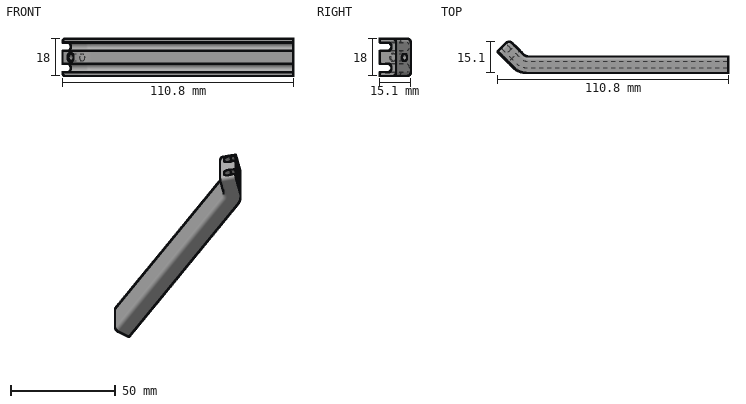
import cadquery as cq
import math

length = 110.8
width = 18.0
thickness = 8.0
bend_angle = math.radians(45)
outer_bend_radius = 8.5
inner_bend_radius = 3.5
edge_radius = 2.0
overall_depth = 15.1

groove_spacing = 10.2
groove_mouth = 3.7
mouth_chamfer = 0.3
groove_diameter = 4.2
groove_depth = 5.6

hole_diameter = 3.4
countersink_diameter = 4.2
countersink_depth = 0.4
hole_from_end = 5.5

sin_bend = math.sin(bend_angle)
cos_bend = math.cos(bend_angle)
half_bend_tan = math.tan(bend_angle / 2)

tip_y = overall_depth - thickness * cos_bend + edge_radius * (sin_bend + cos_bend - 1)
bend_x = tip_y / math.tan(bend_angle)
leg_length = tip_y / sin_bend


def bent_line(depth, radius):
    """Return tip, leg tangent, arc middle, bar tangent and bar end below the front face."""
    corner_x = bend_x + depth * half_bend_tan
    tangent_length = radius * half_bend_tan
    tangent_x = corner_x + tangent_length
    leg_tangent = (corner_x - tangent_length * cos_bend, depth + tangent_length * sin_bend)
    middle = (
        tangent_x - radius * math.sin(bend_angle / 2),
        depth + radius * (1 - math.cos(bend_angle / 2)),
    )
    tip = (depth * sin_bend, tip_y + depth * cos_bend)
    return tip, leg_tangent, middle, (tangent_x, depth), (length, depth)


def bent_slab(back_depth, back_radius, slab_width):
    """Extrude the bent strip from the front face to a depth, centered on Z = 0."""
    tip, leg, middle, bar, end = bent_line(0, outer_bend_radius)
    back_tip, back_leg, back_middle, back_bar, back_end = bent_line(back_depth, back_radius)
    return (
        cq.Workplane("XY")
        .moveTo(*tip)
        .lineTo(*leg)
        .threePointArc(middle, bar)
        .lineTo(*end)
        .lineTo(*back_end)
        .lineTo(*back_bar)
        .threePointArc(back_middle, back_leg)
        .lineTo(*back_tip)
        .close()
        .extrude(slab_width / 2, both=True)
    )


def make_body():
    body = bent_slab(thickness, inner_bend_radius, width)
    end_center = cq.Vector(thickness * sin_bend / 2, tip_y + thickness * cos_bend / 2, 0)
    end_face = min(body.faces().vals(), key=lambda face: (face.Center() - end_center).Length)
    front_tip = cq.Vector(0, tip_y, 0)
    end_edges = [edge for edge in end_face.Edges() if (edge.Center() - front_tip).Length > edge_radius]
    tip, leg, middle, bar, end = bent_line(thickness, inner_bend_radius)
    leg_middle = ((tip[0] + leg[0]) / 2, (tip[1] + leg[1]) / 2)
    bar_middle = ((bar[0] + end[0]) / 2, thickness)
    back_edges = []
    for side in (-1, 1):
        for x, y in (leg_middle, middle, bar_middle):
            target = cq.Vertex.makeVertex(x, y, side * width / 2)
            back_edges.append(min(body.edges().vals(), key=lambda edge: edge.distance(target)))
    return body.newObject(end_edges + back_edges).fillet(edge_radius)


def bent_path(depth):
    """Path along the bar at a depth, bending about the same axis as the front face."""
    tip, leg, middle, bar, end = bent_line(depth, outer_bend_radius - depth)
    return cq.Workplane("XY").moveTo(*end).lineTo(*bar).threePointArc(middle, leg).lineTo(*tip)


def make_groove(side):
    center_depth = groove_depth - groove_diameter / 2
    end_plane = cq.Plane(origin=(length, center_depth, 0), xDir=(0, 1, 0), normal=(-1, 0, 0))
    round_bottom = cq.Workplane(end_plane).circle(groove_diameter / 2).sweep(bent_path(center_depth))
    mouth = bent_slab(center_depth, outer_bend_radius - center_depth, groove_mouth)
    half_mouth = groove_mouth / 2
    chamfer = (
        cq.Workplane(cq.Plane(origin=(length, 0, 0), xDir=(0, 1, 0), normal=(-1, 0, 0)))
        .moveTo(0, -half_mouth - mouth_chamfer)
        .lineTo(0, half_mouth + mouth_chamfer)
        .lineTo(mouth_chamfer, half_mouth)
        .lineTo(mouth_chamfer, -half_mouth)
        .close()
        .sweep(bent_path(0))
    )
    return round_bottom.union(mouth).union(chamfer).translate((0, 0, side * groove_spacing / 2))


def make_hole():
    distance = leg_length - hole_from_end
    origin = (bend_x - distance * cos_bend, distance * sin_bend, 0)
    plane = cq.Plane(origin=origin, xDir=(0, 0, 1), normal=(sin_bend, cos_bend, 0))
    hole = cq.Workplane(plane).circle(hole_diameter / 2).extrude(thickness)
    countersink = cq.Solid.makeCone(
        countersink_diameter / 2, hole_diameter / 2, countersink_depth, cq.Vector(origin), plane.zDir
    )
    return hole.union(cq.Workplane(obj=countersink))


result = make_body()
for groove_side in (-1, 1):
    result = result.cut(make_groove(groove_side))
result = result.cut(make_hole())